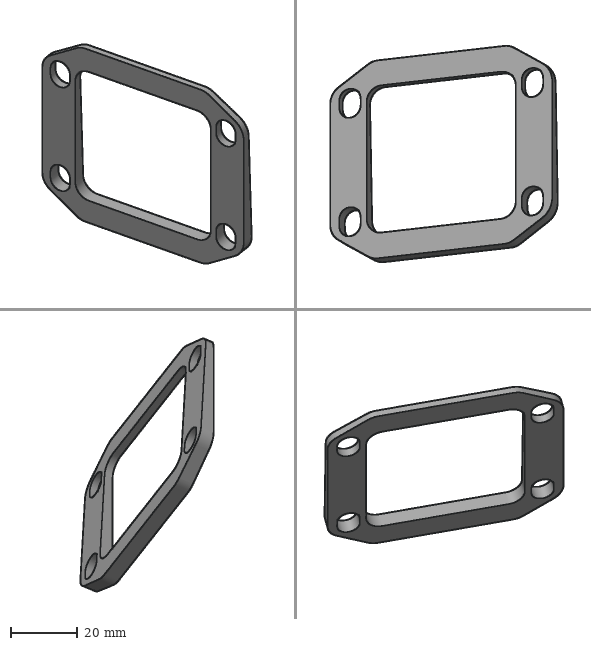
import cadquery as cq

width = 73.0
height = 62.0
bottom_thickness = 5.0
top_thickness = 2.25

top_corner_x = 22.55
side_corner_z = 22.2
outline_radius = 6.0
right_side_radius = 7.0

window_width = 49.05
window_height = 46.05
window_radius = 5.0

slot_width = 7.0
slot_length = 9.05
slot_spacing_x = 60.0
slot_spacing_z = 37.1

half_width = width / 2
half_height = height / 2


def through_prism(sketch):
    """Extrude an XZ sketch from the front face to the greatest thickness."""
    return sketch.extrude(-bottom_thickness)


def octagonal_plate():
    outline = [
        (top_corner_x, half_height),
        (half_width, side_corner_z),
        (half_width, -side_corner_z),
        (top_corner_x, -half_height),
        (-top_corner_x, -half_height),
        (-half_width, -side_corner_z),
        (-half_width, side_corner_z),
        (-top_corner_x, half_height),
    ]
    plate = through_prism(cq.Workplane("XZ").polyline(outline).close())
    plate = plate.edges("|Y and >X").fillet(right_side_radius)
    plate = plate.edges("|Y and <X").fillet(outline_radius)
    return plate.edges("|Y and (>Z or <Z)").fillet(outline_radius)


def taper_wedge():
    """Side profile that thins the plate from bottom to top."""
    profile = [
        (0, -half_height),
        (bottom_thickness, -half_height),
        (top_thickness, half_height),
        (0, half_height),
    ]
    return cq.Workplane("YZ").polyline(profile).close().extrude(half_width, both=True)


def window():
    opening = through_prism(cq.Workplane("XZ").rect(window_width, window_height))
    return opening.edges("|Y").fillet(window_radius)


def mounting_slots():
    centers = cq.Workplane("XZ").rect(slot_spacing_x, slot_spacing_z, forConstruction=True).vertices()
    return through_prism(centers.slot2D(slot_length, slot_width, 90))


result = octagonal_plate().intersect(taper_wedge()).cut(window()).cut(mounting_slots())